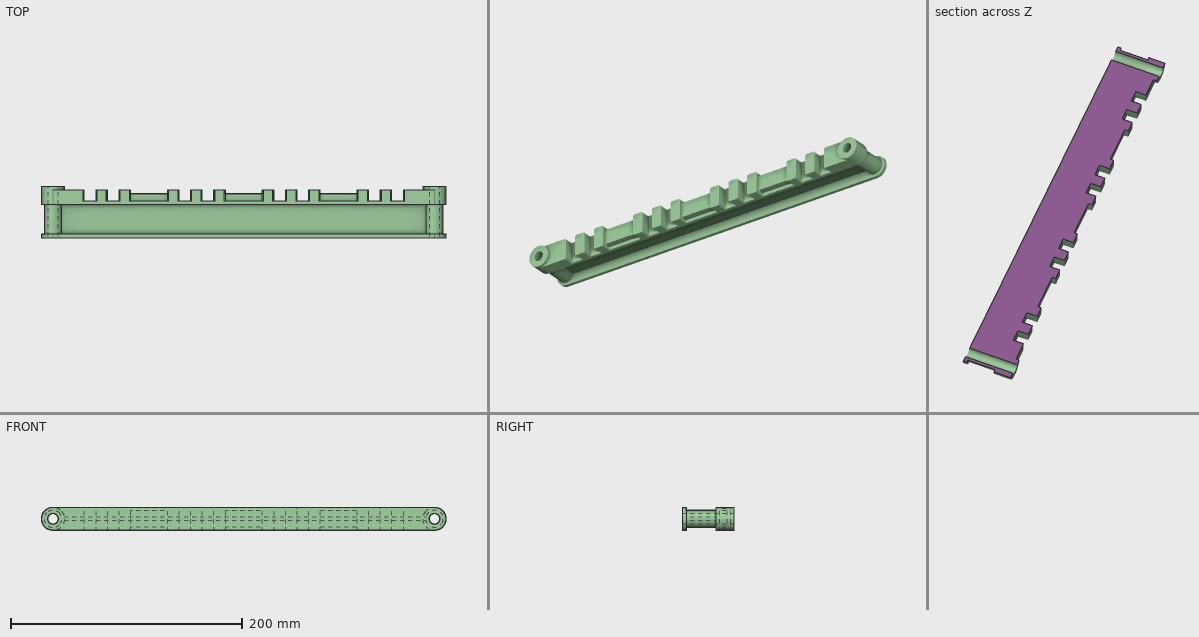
import cadquery as cq

length = 350.0
height = 20.0
depth = 44.7
post_spacing = length - height

front_plate_thickness = 3.5
comb_thickness = 12.7
end_boss_projection = 3.0
comb_back = depth - end_boss_projection
comb_front = comb_back - comb_thickness
comb_wall_thickness = 3.2
notch_front = comb_front + comb_wall_thickness
ledge_depth = 6.3
ledge_back = notch_front + ledge_depth

post_diameter = 15.0
hole_diameter = 9.0
web_thickness = 3.0

group_count = 4
group_pitch = 82.0
tooth_pitch = 20.0
tooth_width = 10.0
tooth_chamfer = 1.0
ledge_drop = 3.0
notch_width = tooth_pitch - tooth_width
group_width = 2 * tooth_pitch + tooth_width
ledge_width = group_pitch - group_width


def box(x_center, x_size, y_start, y_end, z_size):
    """Box centred on x_center and on Z = 0, spanning y_start to y_end."""
    y_size = y_end - y_start
    return cq.Workplane("XY").box(x_size, y_size, z_size).translate(
        (x_center, (y_start + y_end) / 2, 0)
    )


def along_y(y_start):
    """XZ sketch plane at y_start; a negative extrusion runs toward +Y."""
    return cq.Workplane("XZ", origin=(0, y_start, 0))


def end_cylinders(diameter, y_start, y_end):
    """Pair of cylinders on the two post axes."""
    centers = [(-post_spacing / 2, 0), (post_spacing / 2, 0)]
    return along_y(y_start).pushPoints(centers).circle(diameter / 2).extrude(y_start - y_end)


def gap_cutter(x_center, gap_width):
    """Cutter for a gap between teeth, flared at top and bottom to chamfer the tooth edges."""
    half_width = gap_width / 2
    half_height = height / 2
    flared_half_width = half_width + tooth_chamfer
    straight_half_height = half_height - tooth_chamfer
    outline = [
        (x_center - flared_half_width, half_height),
        (x_center + flared_half_width, half_height),
        (x_center + half_width, straight_half_height),
        (x_center + half_width, -straight_half_height),
        (x_center + flared_half_width, -half_height),
        (x_center - flared_half_width, -half_height),
        (x_center - half_width, -straight_half_height),
        (x_center - half_width, straight_half_height),
    ]
    return along_y(notch_front).polyline(outline).close().extrude(notch_front - comb_back)


def make_comb():
    """Rear bar between the post axes, with notched teeth and ledges between the groups."""
    comb = box(0, post_spacing, comb_front, comb_back, height)
    first_group_x = -group_pitch * (group_count - 1) / 2
    for group in range(group_count):
        group_x = first_group_x + group * group_pitch
        for side in (-1, 1):
            comb = comb.cut(gap_cutter(group_x + side * tooth_pitch / 2, notch_width))
    for gap in range(group_count - 1):
        ledge_x = first_group_x + (gap + 0.5) * group_pitch
        ledge = box(ledge_x, ledge_width, notch_front, ledge_back, height - 2 * ledge_drop)
        comb = comb.cut(gap_cutter(ledge_x, ledge_width)).union(ledge)
    return comb


front_plate = along_y(0).slot2D(length, height).extrude(-front_plate_thickness)
web = box(0, post_spacing, front_plate_thickness, comb_front, web_thickness)
posts = end_cylinders(post_diameter, front_plate_thickness, comb_front)
end_bosses = end_cylinders(height, comb_front, depth)
holes = end_cylinders(hole_diameter, 0, depth)

result = front_plate.union(web).union(posts).union(make_comb()).union(end_bosses).cut(holes)